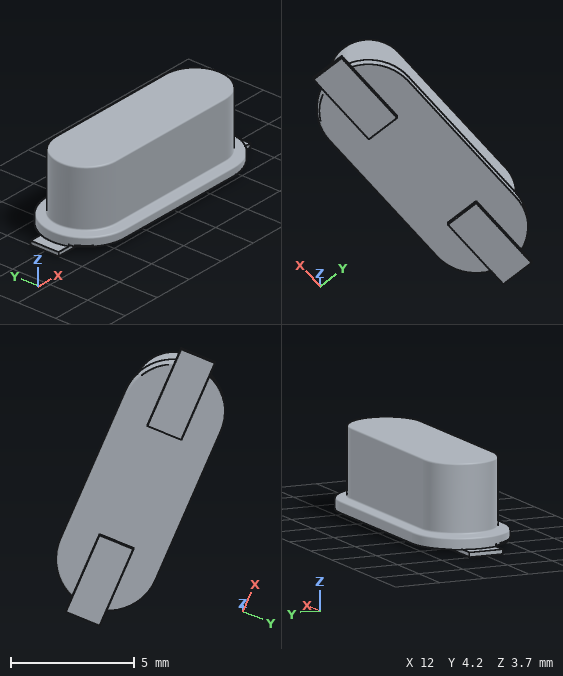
import cadquery as cq

overall_length = 12.0
overall_height = 3.7
straight_length = 6.8
flange_width = 4.2
can_width = 3.2
tab_length = 3.5
tab_width = 1.5
tab_thickness = 0.2
flange_thickness = 0.5
edge_radius = 0.1

flange_top = tab_thickness + flange_thickness
can_height = overall_height - flange_top


def stadium(width, bottom, height):
    """Upright body with parallel sides and full-round ends along X."""
    profile = cq.Workplane("XY").workplane(offset=bottom)
    return profile.slot2D(straight_length + width, width).extrude(height)


def make_flange():
    """Flange with a rounded top rim, and a rounded bottom rim only on the -Y side of the tabs."""
    top_rounded = stadium(flange_width, tab_thickness, flange_thickness).faces(">Z").edges().fillet(edge_radius)
    fully_rounded = top_rounded.faces("<Z").edges().fillet(edge_radius)
    sharp_depth = (flange_width + tab_width) / 2
    sharp_side = cq.Workplane("XY").box(
        overall_length, sharp_depth, flange_top, centered=(True, False, False)
    ).translate((0, -tab_width / 2, 0))
    return fully_rounded.union(top_rounded.intersect(sharp_side))


def make_can():
    """Tall can with a rounded top rim."""
    return stadium(can_width, flange_top, can_height).faces(">Z").edges().fillet(edge_radius)


def round_foot(body):
    """Fillet the inside corner where the can meets the flange."""
    reach_x = (straight_length + can_width) / 2 + edge_radius
    reach_y = can_width / 2 + edge_radius
    foot = cq.selectors.BoxSelector(
        (-reach_x, -reach_y, flange_top - edge_radius / 2),
        (reach_x, reach_y, flange_top + edge_radius / 2),
        boundingbox=True,
    )
    return body.edges(foot).fillet(edge_radius)


def make_tab(side):
    """Flat terminal under one end; side is -1 for -X and +1 for +X."""
    center_x = side * (overall_length - tab_length) / 2
    tab = cq.Workplane("XY").box(tab_length, tab_width, tab_thickness, centered=(True, True, False))
    return tab.translate((center_x, 0, 0))


result = round_foot(make_flange().union(make_can()))
for side in (-1, 1):
    result = result.union(make_tab(side))